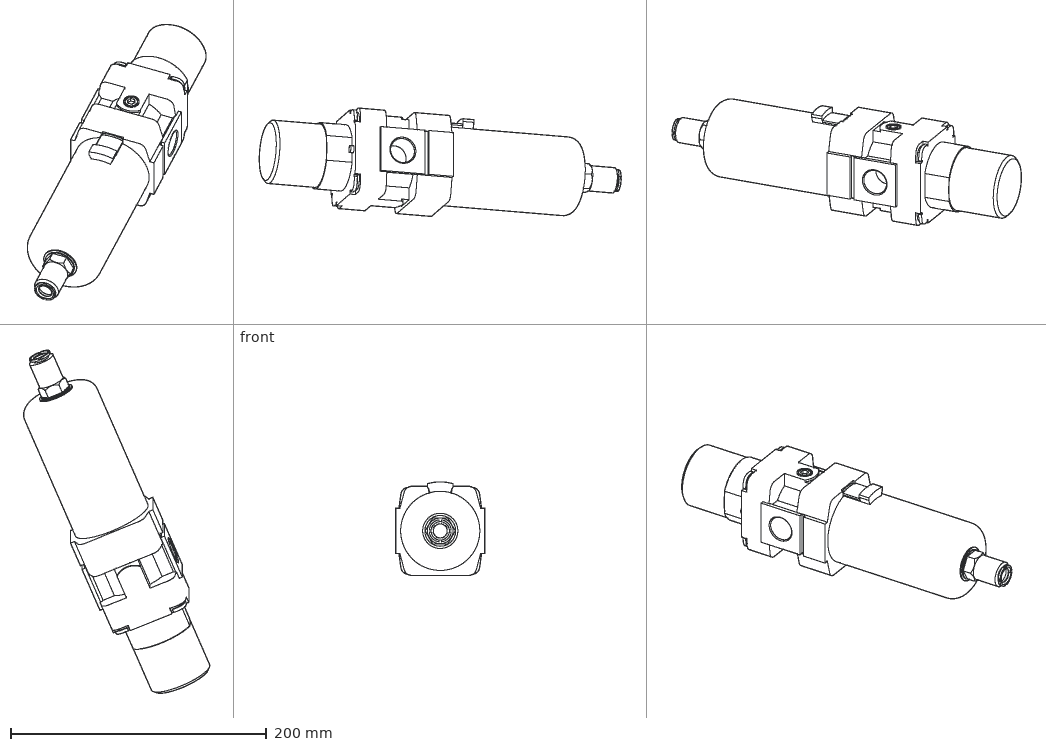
import cadquery as cq
import math


KNOB_END = 100.0
KNOB_BASE = 59.0
UPPER_BLOCK_END = 38.2
UPPER_BLOCK_BASE = 12.3
COLLAR_TOP = -13.0
COLLAR_BASE = -41.3
BOWL_END = -153.3
TOTAL_LENGTH = 287.0
FITTING_END = KNOB_END - TOTAL_LENGTH

KNOB_RADIUS = 25.0
KNOB_CHAMFER = 2.3

NECK_RADIUS = 26.0
NECK_FLAT_HALF = 24.0

PAD_HALF_WIDTH = 35.0
PAD_HALF_HEIGHT = 17.8
UPPER_HALF_WIDTH = 32.5
UPPER_HALF_TOP = 30.1
UPPER_HALF_HEIGHT = 34.2
COLLAR_HALF_WIDTH = 31.5
COLLAR_HALF_TOP = 27.0
COLLAR_HALF_HEIGHT = 35.0
CORNER_RADIUS = 6.3

CORNER_RECESS_LENGTH = 4.5
CORNER_RECESS_DEPTH = 3.0
CORNER_LUG_LENGTH = 2.5
CORNER_LUG_INSET = 1.5
CORNER_RECESS_X = 17.8
CORNER_RECESS_Z = 21.2

CORE_RADIUS = 25.0
FLOOR_HALF_WIDTH = 30.0
FLOOR_HALF_HEIGHT = 14.5
RAIL_INNER_HALF = 32.0
BOSS_HALF_WIDTH = 10.0
BOSS_SHELF_DROP = 1.7
BOSS_EDGE_Y = -6.5
BOSS_TIP_Y = -10.3

PORT_PAD_HALF_LENGTH = 18.0
COLLAR_PAD_TOP = -21.2

PORT_RADIUS = 9.8
PORT_CHAMFER = 1.0
PORT_DEPTH = 23.0

PLUG_RADIUS = 6.0
PLUG_HEAD_RADIUS = 5.0
PLUG_GROOVE_DEPTH = 1.0
SOCKET_ACROSS_CORNERS = 6.3
SOCKET_DEPTH = 3.0

PIN_X = -26.5
PIN_RADIUS = 3.0
PIN_LENGTH = 2.5

BOWL_RADIUS = 31.0
BOWL_FILLET = 9.8

NOTCH_HALF_WIDTH = 8.5
NOTCH_LENGTH = 1.7
STEM_HALF_WIDTH = 9.2
STEM_FLARE_Z = 31.5
STEM_EDGE_Z = 33.0
STEM_CROWN_Z = 34.2
HEAD_TOP = -57.0
HEAD_BASE = -66.0
HEAD_HALF_WIDTH = 10.0
HEAD_FLARE_Z = 34.7
HEAD_EDGE_Z = 37.0
HEAD_CROWN_Z = 38.5
FOOT_HALF_WIDTH = 8.0
FOOT_Z = 30.0
BUTTON_ROOT_Z = 25.8

WASHER_RADIUS = 13.8
WASHER_THICKNESS = 1.0
SEAT_RADIUS = 12.0
SEAT_THICKNESS = 1.0
HEX_ACROSS_FLATS = 20.5
HEX_LENGTH = 8.3
HEX_CHAMFER_HEIGHT = 1.7
STUB_RADIUS = 10.0
STUB_END = -183.5
COLLET_NECK_RADIUS = 6.0
COLLET_RADIUS = 8.5
COLLET_THICKNESS = 1.7
COLLET_SLOT_WIDTH = 1.7
BORE_RADIUS = 5.5
BORE_DEPTH = 23.0
LEAD_IN_RADIUS = 7.2
LEAD_IN_DEPTH = 1.0


def section_at(y_top):
    """Sketch plane across the axis: local x is X, local y is Z, and extrusion runs toward -Y."""
    return cq.Workplane("XZ", origin=(0, y_top, 0))


def slab(y_top, y_base, half_width, half_height):
    return section_at(y_top).rect(2 * half_width, 2 * half_height).extrude(y_top - y_base)


def rod(y_top, y_base, radius):
    return section_at(y_top).circle(radius).extrude(y_top - y_base)


def tapered_block(y_top, y_base, half_width, half_top, half_height):
    """Block with upright sides at pad height that lean in to a rounded top and bottom."""
    corners = [(half_width, PAD_HALF_HEIGHT), (half_top, half_height)]
    upper = corners + [(-x, z) for x, z in reversed(corners)]
    lower = [(-x, -z) for x, z in upper]
    block = section_at(y_top).polyline(upper + lower).close().extrude(y_top - y_base)
    corner_edges = block.faces(">Z or <Z").edges("|Y")
    return corner_edges.fillet(CORNER_RADIUS)


def make_knob():
    return rod(KNOB_END, KNOB_BASE, KNOB_RADIUS).faces(">Y").chamfer(KNOB_CHAMFER)


def upper_profile(y_top, y_base, inset=0.0):
    return tapered_block(
        y_top,
        y_base,
        UPPER_HALF_WIDTH - inset,
        UPPER_HALF_TOP - inset,
        UPPER_HALF_HEIGHT - inset,
    )


def cross_bands(y_top, y_base, clearance=0.0):
    """Plus-shaped region that separates the four corner recesses."""
    upright = slab(y_top, y_base, CORNER_RECESS_X + clearance, UPPER_HALF_HEIGHT)
    level = slab(y_top, y_base, UPPER_HALF_WIDTH, CORNER_RECESS_Z + clearance)
    return upright.union(level)


def make_upper_block():
    """Upper block with a recess around each corner of its knob end and a thin lug in each recess."""
    recess_base = UPPER_BLOCK_END - CORNER_RECESS_LENGTH
    lug_base = UPPER_BLOCK_END - CORNER_LUG_LENGTH
    plain = upper_profile(recess_base, UPPER_BLOCK_BASE)
    recessed_end = upper_profile(UPPER_BLOCK_END, recess_base, CORNER_RECESS_DEPTH)
    full_end = upper_profile(UPPER_BLOCK_END, recess_base)
    cross = full_end.intersect(cross_bands(UPPER_BLOCK_END, recess_base))
    lug_plate = upper_profile(UPPER_BLOCK_END, lug_base, CORNER_LUG_INSET)
    lugs = lug_plate.cut(cross_bands(UPPER_BLOCK_END, lug_base, CORNER_LUG_INSET))
    return plain.union(recessed_end).union(cross).union(lugs)


def make_boss():
    """Boss on top and bottom of the waist, its face ending in an arc above a lower shelf."""
    shelf_height = UPPER_HALF_HEIGHT - BOSS_SHELF_DROP
    shelf = slab(UPPER_BLOCK_BASE, COLLAR_TOP, BOSS_HALF_WIDTH, shelf_height)
    face = (
        cq.Workplane("XY")
        .moveTo(-BOSS_HALF_WIDTH, UPPER_BLOCK_BASE)
        .lineTo(-BOSS_HALF_WIDTH, BOSS_EDGE_Y)
        .threePointArc((0, BOSS_TIP_Y), (BOSS_HALF_WIDTH, BOSS_EDGE_Y))
        .lineTo(BOSS_HALF_WIDTH, UPPER_BLOCK_BASE)
        .close()
        .extrude(UPPER_HALF_HEIGHT, both=True)
    )
    return shelf.union(face)


def make_port_pads():
    """Both port pads joined by the waist floor, with rails that lean out from the floor to the pads."""
    upper_right = [
        (FLOOR_HALF_WIDTH, FLOOR_HALF_HEIGHT),
        (RAIL_INNER_HALF, PAD_HALF_HEIGHT),
        (PAD_HALF_WIDTH, PAD_HALF_HEIGHT),
    ]
    lower_right = [(x, -z) for x, z in reversed(upper_right)]
    right = upper_right + lower_right
    left = [(-x, -z) for x, z in right]
    return section_at(PORT_PAD_HALF_LENGTH).polyline(right + left).close().extrude(2 * PORT_PAD_HALF_LENGTH)


def make_port(side):
    """Cutter for one blind, chamfered port; side is +1 for +X and -1 for -X."""
    face_x = PAD_HALF_WIDTH
    profile = [
        (face_x - PORT_DEPTH, 0),
        (face_x - PORT_DEPTH, PORT_RADIUS),
        (face_x - PORT_CHAMFER, PORT_RADIUS),
        (face_x, PORT_RADIUS + PORT_CHAMFER),
        (face_x, 0),
    ]
    mirrored = [(side * x, y) for x, y in profile]
    return cq.Workplane("XY").polyline(mirrored).close().revolve(360, (0, 0, 0), (1, 0, 0))


def make_plug_cut():
    top_face = cq.Workplane("XY", origin=(0, 0, UPPER_HALF_HEIGHT))
    groove = top_face.circle(PLUG_RADIUS).circle(PLUG_HEAD_RADIUS).extrude(-PLUG_GROOVE_DEPTH)
    socket = top_face.polygon(6, SOCKET_ACROSS_CORNERS).extrude(-SOCKET_DEPTH)
    return groove.union(socket)


def make_neck():
    flats = slab(KNOB_BASE, UPPER_BLOCK_END, NECK_FLAT_HALF, NECK_RADIUS)
    return rod(KNOB_BASE, UPPER_BLOCK_END, NECK_RADIUS).intersect(flats)


def make_button_notch():
    """Cutter for the open notch in the collar that takes the tongue of the lock button."""
    return (
        section_at(COLLAR_BASE + NOTCH_LENGTH)
        .center(0, (BUTTON_ROOT_Z + COLLAR_HALF_HEIGHT) / 2)
        .rect(2 * NOTCH_HALF_WIDTH, COLLAR_HALF_HEIGHT - BUTTON_ROOT_Z)
        .extrude(NOTCH_LENGTH)
    )


def make_housing():
    collar = tapered_block(COLLAR_TOP, COLLAR_BASE, COLLAR_HALF_WIDTH, COLLAR_HALF_TOP, COLLAR_HALF_HEIGHT)
    groove_floor = slab(-PORT_PAD_HALF_LENGTH, COLLAR_PAD_TOP, UPPER_HALF_WIDTH, PAD_HALF_HEIGHT)
    collar_pads = slab(COLLAR_PAD_TOP, COLLAR_BASE, PAD_HALF_WIDTH, PAD_HALF_HEIGHT)
    pin = rod(UPPER_BLOCK_END + PIN_LENGTH, UPPER_BLOCK_END, PIN_RADIUS).translate((PIN_X, 0, 0))
    housing = make_upper_block().union(rod(UPPER_BLOCK_BASE, COLLAR_TOP, CORE_RADIUS))
    for piece in (make_boss(), collar, make_port_pads(), groove_floor, collar_pads, make_neck(), pin):
        housing = housing.union(piece)
    for cutter in (make_port(-1), make_port(1), make_plug_cut(), make_button_notch()):
        housing = housing.cut(cutter)
    return housing


def make_bowl():
    return rod(COLLAR_BASE, BOWL_END, BOWL_RADIUS).faces("<Y").edges().fillet(BOWL_FILLET)


def flared_bar(y_top, y_base, half_width, flare_z, edge_z, crown_z):
    """Button bar that flares from its narrow foot to upright sides under an arched top."""
    return (
        section_at(y_top)
        .moveTo(-FOOT_HALF_WIDTH, BUTTON_ROOT_Z)
        .lineTo(-FOOT_HALF_WIDTH, FOOT_Z)
        .lineTo(-half_width, flare_z)
        .lineTo(-half_width, edge_z)
        .threePointArc((0, crown_z), (half_width, edge_z))
        .lineTo(half_width, flare_z)
        .lineTo(FOOT_HALF_WIDTH, FOOT_Z)
        .lineTo(FOOT_HALF_WIDTH, BUTTON_ROOT_Z)
        .close()
        .extrude(y_top - y_base)
    )


def make_button():
    """Lock button resting on the bowl: a tongue in the collar notch, a stem and a flared head."""
    tongue_top = COLLAR_BASE + NOTCH_LENGTH
    tongue = flared_bar(tongue_top, COLLAR_BASE, NOTCH_HALF_WIDTH, STEM_FLARE_Z, STEM_EDGE_Z, STEM_CROWN_Z)
    stem = flared_bar(COLLAR_BASE, HEAD_TOP, STEM_HALF_WIDTH, STEM_FLARE_Z, STEM_EDGE_Z, STEM_CROWN_Z)
    head = flared_bar(HEAD_TOP, HEAD_BASE, HEAD_HALF_WIDTH, HEAD_FLARE_Z, HEAD_EDGE_Z, HEAD_CROWN_Z)
    bowl_space = rod(COLLAR_BASE, HEAD_BASE, BOWL_RADIUS)
    return tongue.union(stem).union(head).cut(bowl_space)


def make_hexagon(y_top):
    """Hexagon with flats facing Z and its corners chamfered at the free end."""
    across_corners = HEX_ACROSS_FLATS / math.cos(math.pi / 6)
    hexagon = section_at(y_top).polygon(6, across_corners).extrude(HEX_LENGTH)
    corner_chamfer = across_corners / 2 - STUB_RADIUS
    envelope = (
        rod(y_top, y_top - HEX_LENGTH, across_corners / 2)
        .faces("<Y")
        .chamfer(HEX_CHAMFER_HEIGHT, corner_chamfer)
    )
    return hexagon.intersect(envelope)


def make_drain_bore():
    """Cutter for the blind drain bore and the conical lead-in at its mouth."""
    profile = [
        (0, FITTING_END + BORE_DEPTH),
        (BORE_RADIUS, FITTING_END + BORE_DEPTH),
        (BORE_RADIUS, FITTING_END + LEAD_IN_DEPTH),
        (LEAD_IN_RADIUS, FITTING_END),
        (0, FITTING_END),
    ]
    return cq.Workplane("XY").polyline(profile).close().revolve(360, (0, 0, 0), (0, 1, 0))


def make_fitting():
    """Drain fitting below the bowl with a slotted release collet at its end."""
    seat_top = BOWL_END - WASHER_THICKNESS
    hex_top = seat_top - SEAT_THICKNESS
    collet_top = FITTING_END + COLLET_THICKNESS
    fitting = rod(BOWL_END, seat_top, WASHER_RADIUS)
    fitting = fitting.union(rod(seat_top, hex_top, SEAT_RADIUS))
    fitting = fitting.union(make_hexagon(hex_top))
    fitting = fitting.union(rod(hex_top, STUB_END, STUB_RADIUS))
    fitting = fitting.union(rod(STUB_END, collet_top, COLLET_NECK_RADIUS))
    fitting = fitting.union(rod(collet_top, FITTING_END, COLLET_RADIUS))
    slot_length = COLLET_RADIUS - LEAD_IN_RADIUS
    slots = (
        section_at(collet_top)
        .polarArray(LEAD_IN_RADIUS + slot_length / 2, 0, 360, 4)
        .rect(slot_length, COLLET_SLOT_WIDTH)
        .extrude(COLLET_THICKNESS)
    )
    return fitting.cut(slots).cut(make_drain_bore())


knob = make_knob()
housing = make_housing()
bowl = make_bowl()
button = make_button()
fitting = make_fitting()

result = cq.Compound.makeCompound([knob.val(), housing.val(), bowl.val(), button.val(), fitting.val()])